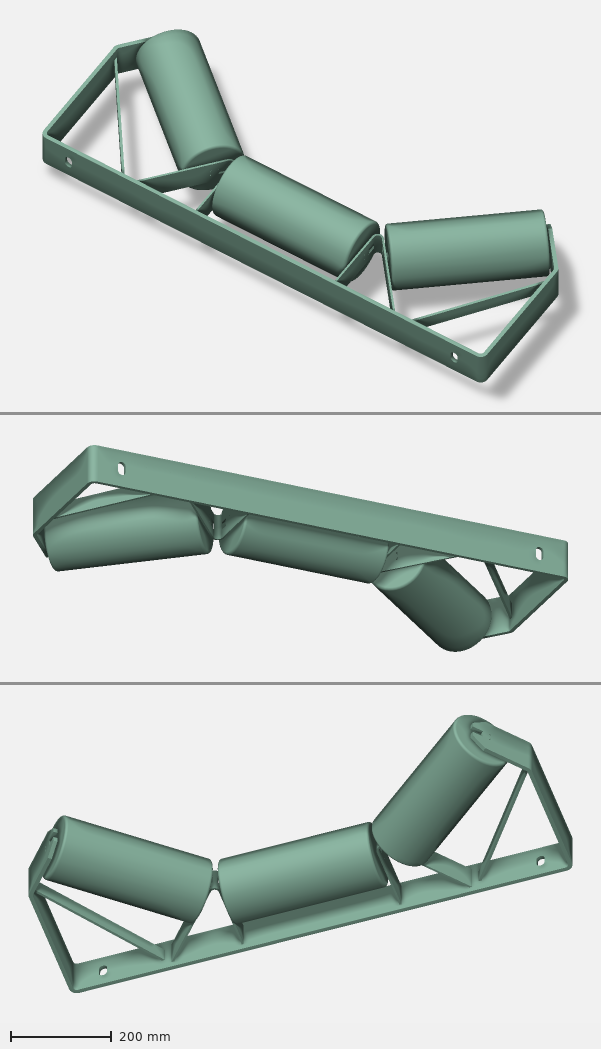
import cadquery as cq
import math

frame_length = 1050.0
frame_height = 80.0
frame_thickness = 8.0
frame_bend_radius = 16.0
flange_length = 135.0
flange_chamfer_along = 29.0
flange_chamfer_across = 21.0
bolt_slot_x = 457.0
bolt_slot_width = 17.0
bolt_slot_height = 28.0

roller_diameter = 133.0
roller_length = 315.0
roller_edge_radius = 5.0
center_roller_y = 126.0
wing_roller_x = 328.0
wing_roller_y = 245.0
wing_angle = 40.0

shaft_diameter = 20.0
shaft_flat_width = 16.0
bracket_gap = 5.0
flange_gap = 4.0

bracket_height = 54.0
bracket_thickness = 4.0
bracket_bend_radius = 13.0

brace_height = 30.0
brace_thickness = 5.0
brace_foot_x = 331.0
brace_top_y = 262.0

half_length = frame_length / 2
roller_radius = roller_diameter / 2
shaft_radius = shaft_diameter / 2
tilt = math.radians(wing_angle)
axis_x = math.cos(tilt)
axis_y = math.sin(tilt)
bracket_distance = roller_length / 2 + bracket_gap
flange_distance = roller_length / 2 + flange_gap


def wing_plane_y(x, distance):
    """Y at the given X of the plane square to the right wing axis, that far outward from its middle."""
    return wing_roller_y + (distance - (x - wing_roller_x) * axis_x) / axis_y


def mirrored(shape):
    return shape.mirror("YZ")


def place_on_wing(shape):
    """Move a shape from the origin, with its axis along X, to the right wing roller."""
    return shape.rotate((0, 0, 0), (0, 0, 1), wing_angle).translate((wing_roller_x, wing_roller_y, 0))


def bent_strip(points, thickness, height, bend_radius):
    """Strip whose outer face follows the points; its thickness lies to the left of the path."""
    headings = [math.atan2(b[1] - a[1], b[0] - a[0]) for a, b in zip(points, points[1:])]
    inner_points = []
    for i, (x, y) in enumerate(points):
        before = headings[max(i - 1, 0)]
        after = headings[min(i, len(headings) - 1)]
        reach = thickness / math.cos((after - before) / 2)
        normal = (before + after) / 2 + math.pi / 2
        inner_points.append((x + reach * math.cos(normal), y + reach * math.sin(normal)))
    outline = points + inner_points[::-1]
    strip = cq.Workplane("XY").polyline(outline).close().extrude(height / 2, both=True)
    for corners, radius in ((points, bend_radius), (inner_points, bend_radius - thickness)):
        for x, y in corners[1:-1]:
            strip = strip.edges(cq.NearestToPointSelector((x, y, 0))).fillet(radius)
    return strip


def shaft_slot(center_x, thickness, length):
    """Cutter for a slot open toward +Y, whose floor touches the underside of a shaft on the X axis."""
    cutter = cq.Workplane("XY").box(thickness, length, shaft_flat_width)
    return cutter.translate((center_x, length / 2 - shaft_radius, 0))


def make_frame():
    """Base, two uprights and two tilted end flanges, bent from one strip."""
    bend_y = wing_plane_y(half_length, flange_distance + frame_thickness)
    tip = (half_length - flange_length * axis_y, bend_y + flange_length * axis_x)
    right_side = [(half_length, 0), (half_length, bend_y), tip]
    left_side = [(-x, y) for x, y in reversed(right_side)]
    frame = bent_strip(left_side + right_side, frame_thickness, frame_height, frame_bend_radius)

    tip_reach = (tip[1] - wing_roller_y) * axis_x - (tip[0] - wing_roller_x) * axis_y
    flange_center = flange_distance + frame_thickness / 2
    for side in (-1, 1):
        edge_z = side * frame_height / 2
        corner = (
            cq.Workplane("YZ", origin=(flange_distance - frame_thickness, 0, 0))
            .polyline([
                (tip_reach, edge_z),
                (tip_reach - flange_chamfer_along, edge_z),
                (tip_reach, edge_z - side * flange_chamfer_across),
            ])
            .close()
            .extrude(3 * frame_thickness)
        )
        frame = frame.cut(place_on_wing(corner)).cut(mirrored(place_on_wing(corner)))

    slot = place_on_wing(shaft_slot(flange_center, 2 * frame_thickness, flange_length))
    frame = frame.cut(slot).cut(mirrored(slot))

    bolt_slots = (
        cq.Workplane("XZ")
        .pushPoints([(-bolt_slot_x, 0), (bolt_slot_x, 0)])
        .slot2D(bolt_slot_height, bolt_slot_width, 90)
        .extrude(-frame_thickness)
    )
    return frame.cut(bolt_slots)


def trim_to_frame(shape):
    """Keep only what lies inside the frame, above the base and between the uprights."""
    inside = cq.Workplane("XY").box(
        frame_length - 2 * frame_thickness, frame_length, frame_height, centered=(True, False, True)
    )
    return shape.intersect(inside.translate((0, frame_thickness, 0)))


def make_right_bracket():
    """Folded strip standing on the base, carrying the center roller and the right wing roller."""
    apex = (bracket_distance, wing_plane_y(bracket_distance, -bracket_distance))
    vertical_foot = (bracket_distance, 0)
    leg_length = 2 * apex[1]
    sloping_foot = (apex[0] + leg_length * axis_y, apex[1] - leg_length * axis_x)
    bracket = bent_strip(
        [sloping_foot, apex, vertical_foot], bracket_thickness, bracket_height, bracket_bend_radius
    )

    slot_depth = 2 * bracket_thickness
    slot_length = apex[1] - center_roller_y
    center_slot = shaft_slot(bracket_distance, slot_depth, slot_length)
    wing_slot = shaft_slot(-bracket_distance, slot_depth, slot_length)
    bracket = bracket.cut(center_slot.translate((0, center_roller_y, 0)))
    bracket = bracket.cut(place_on_wing(wing_slot))
    return trim_to_frame(bracket)


def make_right_brace():
    """Flat bar from the base up to the right upright."""
    foot = (brace_foot_x, frame_thickness)
    top = (half_length - frame_thickness, brace_top_y)
    run = top[0] - foot[0]
    rise = top[1] - foot[1]
    length = math.hypot(run, rise)
    bar = cq.Workplane("XY").box(2 * length, brace_thickness, brace_height)
    bar = bar.rotate((0, 0, 0), (0, 0, 1), math.degrees(math.atan2(rise, run)))
    middle = ((foot[0] + top[0]) / 2, (foot[1] + top[1]) / 2, 0)
    return trim_to_frame(bar.translate(middle))


def make_roller(inner_reach, outer_reach):
    """Drum with a shaft along X; two flats on the shaft let its ends sit in the slots."""
    drum_start = (-roller_length / 2, 0, 0)
    drum = cq.Workplane("YZ", origin=drum_start).circle(roller_radius).extrude(roller_length)
    drum = drum.edges("%CIRCLE").fillet(roller_edge_radius)
    shaft_length = inner_reach + outer_reach
    shaft = cq.Workplane("YZ", origin=(-inner_reach, 0, 0)).circle(shaft_radius).extrude(shaft_length)
    flats = cq.Workplane("XY").box(3 * roller_length, shaft_diameter, shaft_flat_width)
    return drum.union(shaft.intersect(flats))


frame = make_frame()

right_bracket = make_right_bracket()
brackets = [right_bracket, mirrored(right_bracket)]

right_brace = make_right_brace()
braces = [right_brace, mirrored(right_brace)]

bracket_reach = bracket_distance + bracket_thickness
flange_reach = flange_distance + frame_thickness
center_roller = make_roller(bracket_reach, bracket_reach).translate((0, center_roller_y, 0))
right_wing_roller = place_on_wing(make_roller(bracket_reach, flange_reach))
rollers = [center_roller, right_wing_roller, mirrored(right_wing_roller)]

bodies = [frame, *brackets, *braces, *rollers]
result = cq.Compound.makeCompound([body.solids().val() for body in bodies])